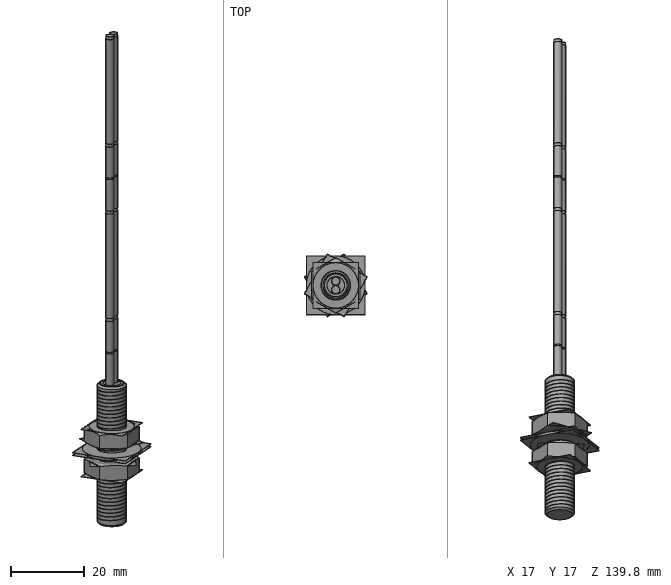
import cadquery as cq
import math

total_height = 139.8

barrel_height = 40.0
barrel_radius = 3.99
barrel_chamfer = 0.5
thread_pitch = 1.05
thread_depth = 0.07
thread_half_width = 0.05
thread_margin = 1.1

sleeve_radius = 3.1
core_radius = 2.4
plug_depth = 2.8
plug_bottom = barrel_height - plug_depth

nut_width = 13.0
nut_height = 4.6
nut_chamfer_height = 0.4
nut_face_radius = 5.9
nut_turn = 30
nut_bottoms = (14.1, 23.1)

sheet_thickness = 0.07
nut_outer_sheet_width = 12.5
nut_inner_sheet_span = 17.0
nut_inner_sheet_angle = 30

washer_radius = 8.0
washer_thickness = 0.8
washer_middle = (nut_bottoms[0] + nut_height + nut_bottoms[1]) / 2

wire_radius = 1.16
segments_per_wire = 2
segment_length = (total_height - barrel_height) / segments_per_wire
band_depth = 0.07
wire_bands = ((0.0, 0.8), (30.8, 0.8), (40.4, 0.4))


def make_thread_groove():
    """Cutter for the fine right-handed helical V groove in the barrel surface."""
    length = barrel_height - 2 * thread_margin
    helix = cq.Wire.makeHelix(thread_pitch, length, barrel_radius)
    profile = (
        cq.Workplane("XZ")
        .moveTo(barrel_radius - thread_depth, 0)
        .lineTo(barrel_radius + thread_depth, 2 * thread_half_width)
        .lineTo(barrel_radius + thread_depth, -2 * thread_half_width)
        .close()
    )
    groove = profile.sweep(cq.Workplane(obj=helix), isFrenet=True)
    return groove.translate((0, 0, thread_margin))


def make_barrel():
    """Threaded rod, chamfered at both ends, with a recess for the sleeve."""
    rod = cq.Workplane("XY").circle(barrel_radius).extrude(barrel_height)
    rod = rod.faces("<Z or >Z").chamfer(barrel_chamfer)
    recess = cq.Workplane("XY", origin=(0, 0, plug_bottom)).circle(sleeve_radius).extrude(plug_depth)
    return rod.cut(recess).cut(make_thread_groove())


def make_sleeve():
    """Ring in the barrel recess, flush with the barrel top."""
    ring = cq.Workplane("XY", origin=(0, 0, plug_bottom)).circle(sleeve_radius).circle(core_radius)
    return ring.extrude(plug_depth)


def make_core():
    """Disc inside the sleeve that carries the wires."""
    return cq.Workplane("XY", origin=(0, 0, plug_bottom)).circle(core_radius).extrude(plug_depth)


def make_square_sheet(width, angle, bottom):
    """Thin square sheet around the barrel, turned about Z by the given angle."""
    sheet = cq.Workplane("XY").rect(width, width).circle(barrel_radius).extrude(sheet_thickness)
    return sheet.rotate((0, 0, 0), (0, 0, 1), angle).translate((0, 0, bottom))


def make_nut():
    """Hexagon nut with turned corners, standing on Z = 0.

    One square sheet is flush with its base, the other lies at the foot of the upper cone.
    """
    corner_radius = nut_width / math.sqrt(3)
    hexagon = (
        cq.Workplane("XY")
        .polygon(6, 2 * corner_radius)
        .extrude(nut_height)
        .rotate((0, 0, 0), (0, 0, 1), nut_turn)
    )
    envelope = (
        cq.Workplane("XZ")
        .moveTo(barrel_radius, 0)
        .lineTo(nut_face_radius, 0)
        .lineTo(corner_radius, nut_chamfer_height)
        .lineTo(corner_radius, nut_height - nut_chamfer_height)
        .lineTo(nut_face_radius, nut_height)
        .lineTo(barrel_radius, nut_height)
        .close()
        .revolve(360, (0, 0, 0), (0, 1, 0))
    )
    outer_sheet = make_square_sheet(nut_outer_sheet_width, 0, 0)
    turn = math.radians(nut_inner_sheet_angle)
    inner_sheet_width = nut_inner_sheet_span / (math.cos(turn) + math.sin(turn))
    inner_sheet = make_square_sheet(
        inner_sheet_width, nut_inner_sheet_angle, nut_height - nut_chamfer_height
    )
    return hexagon.intersect(envelope).union(outer_sheet).union(inner_sheet)


def make_washer():
    """Round washer on the barrel, with a square sheet flush with each face."""
    bottom = washer_middle - washer_thickness / 2
    ring = cq.Workplane("XY", origin=(0, 0, bottom)).circle(washer_radius).circle(barrel_radius)
    washer_body = ring.extrude(washer_thickness)
    for sheet_bottom in (bottom, bottom + washer_thickness - sheet_thickness):
        washer_body = washer_body.union(make_square_sheet(2 * washer_radius, 0, sheet_bottom))
    return washer_body


def make_wire_segment(y, top):
    """One length of wire with shallow ring bands."""
    base = cq.Workplane("XY", origin=(0, y, top - segment_length))
    segment = base.circle(wire_radius).extrude(segment_length)
    for distance, width in wire_bands:
        band = (
            cq.Workplane("XY", origin=(0, y, top - distance - width))
            .circle(wire_radius + band_depth)
            .circle(wire_radius - band_depth)
            .extrude(width)
        )
        segment = segment.cut(band)
    return segment


barrel = make_barrel()
sleeve = make_sleeve()
core = make_core()
washer = make_washer()
lower_nut = make_nut().translate((0, 0, nut_bottoms[0]))
upper_nut = make_nut().rotate((0, 0, 0), (1, 0, 0), 180).translate((0, 0, nut_bottoms[1] + nut_height))
nuts = [lower_nut, upper_nut]
wire_segments = []
for side in (-1, 1):
    wire_y = side * wire_radius
    for position in range(segments_per_wire):
        segment_top = total_height - position * segment_length
        wire_segments.append(make_wire_segment(wire_y, segment_top))

bodies = [barrel, sleeve, core, washer, *nuts, *wire_segments]
result = cq.Compound.makeCompound([body.solids().val() for body in bodies])